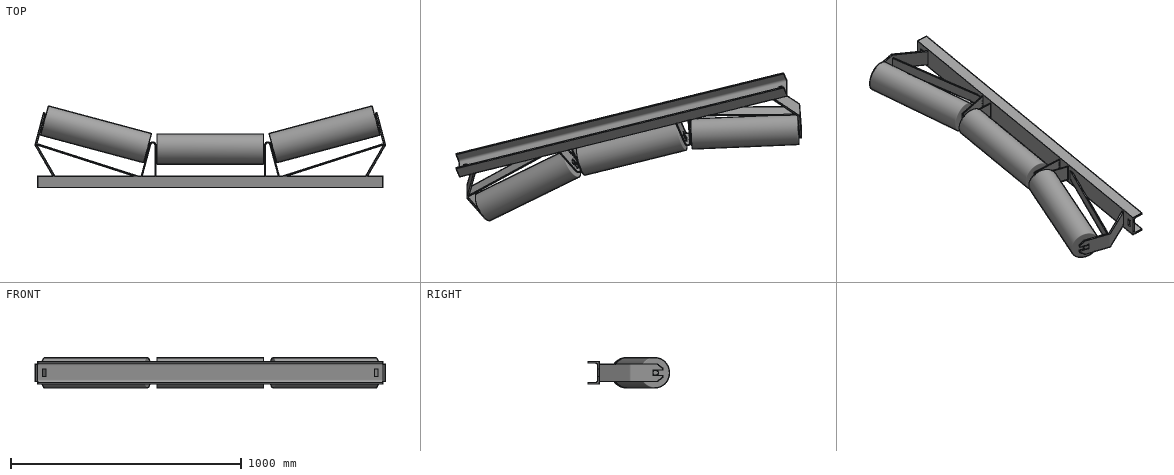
import cadquery as cq
import math


channel_length = 1500.0
channel_depth = 50.0
channel_height = 99.0
web_thickness = 8.0
flange_thickness = 8.0
channel_fillet = 10.0
mount_slot_width = 14.0
mount_slot_height = 32.0
mount_slot_offset = 722.0

roller_diameter = 132.0
roller_length = 465.0
roller_edge_fillet = 3.0
shaft_diameter = 25.0
shaft_flats = 18.0
trough_angle = 15
center_axis_y = 167.0
wing_center_x = 496.0
wing_center_y = 231.0

bracket_width = 76.0
shaft_slot_width = 23.0
inner_thickness = 5.0
inner_clearance = 4.3
inner_bend_radius = 13.5
outer_thickness = 8.0
outer_clearance = 5.0
outer_bend_radius = 11.4
outer_extreme_x = 761.0
outer_leg_angle = 30
outer_tip_height = 32.0
tip_chamfer_along = 25.0
tip_chamfer_across = 18.0

brace_width = 50.0
brace_thickness = 6.0
brace_foot_x = 333.0
brace_angle = 17.8

slot_overshoot = 91.0

along = cq.Vector(math.cos(math.radians(trough_angle)), -math.sin(math.radians(trough_angle)))
upward = cq.Vector(math.sin(math.radians(trough_angle)), math.cos(math.radians(trough_angle)))
wing_center = cq.Vector(-wing_center_x, wing_center_y)
wing_outer_end = wing_center - along * (roller_length / 2)
wing_inner_end = wing_center + along * (roller_length / 2)

outer_bend_offset = outer_clearance + outer_thickness - outer_bend_radius
outer_bend_x = -outer_extreme_x + outer_bend_radius
outer_bend_y = (
    wing_outer_end.y
    + (outer_bend_offset + (outer_bend_x - wing_outer_end.x) * along.x) / -along.y
)
outer_bend = cq.Vector(outer_bend_x, outer_bend_y)


def mirrored(body):
    """Copy a -X body to the +X side."""
    return body.mirror("YZ")


def strip(outline, width):
    """Extrude an XY outline symmetrically about Z = 0."""
    return outline.extrude(width / 2, both=True)


def place_on_wing(body):
    """Turn a body built about the X axis at the origin into the -X roller position."""
    return body.rotate((0, 0, 0), (0, 0, 1), -trough_angle).translate(wing_center)


def xy(point):
    """Drop the Z coordinate of a vector."""
    return (point.x, point.y)


def make_channel():
    """Extrude the U-shaped cross channel, its web towards the rollers, with a slot near each end."""
    web_inner_y = channel_depth - web_thickness
    half_height = channel_height / 2
    inner_half_height = half_height - flange_thickness
    profile = (
        cq.Workplane("YZ")
        .moveTo(0, -half_height)
        .lineTo(channel_depth, -half_height)
        .lineTo(channel_depth, half_height)
        .lineTo(0, half_height)
        .lineTo(0, inner_half_height)
        .lineTo(web_inner_y, inner_half_height)
        .lineTo(web_inner_y, -inner_half_height)
        .lineTo(0, -inner_half_height)
        .close()
    )
    channel = profile.extrude(channel_length / 2, both=True)
    inner_corner = cq.selectors.BoxSelector(
        (-channel_length, web_inner_y - web_thickness / 2, -half_height + flange_thickness / 2),
        (channel_length, web_inner_y + web_thickness / 2, half_height - flange_thickness / 2),
    )
    channel = channel.edges("|X").edges(inner_corner).fillet(channel_fillet)
    for slot_x in (-mount_slot_offset, mount_slot_offset):
        slot = cq.Workplane("XY").box(mount_slot_width, 2 * channel_depth, mount_slot_height)
        channel = channel.cut(slot.translate((slot_x, channel_depth, 0)))
    return channel


def make_roller(reach_low, reach_high):
    """Build a roller about the X axis; its shaft ends extend by the given reaches at -X and +X."""
    start = -roller_length / 2
    drum = cq.Workplane("YZ", origin=(start, 0, 0)).circle(roller_diameter / 2).extrude(roller_length)
    drum = drum.edges().fillet(roller_edge_fillet)
    shaft = (
        cq.Workplane("YZ", origin=(start - reach_low, 0, 0))
        .circle(shaft_diameter / 2)
        .extrude(roller_length + reach_low + reach_high)
    )
    flats = cq.Workplane("XY").box(2 * roller_length, shaft_diameter, shaft_flats)
    return drum.union(shaft.intersect(flats))


def make_shaft_slot(thickness):
    """Build the cutter for an open slot in a plate lying across the X axis at X = 0."""
    height = slot_overshoot + shaft_diameter / 2
    middle = (slot_overshoot - shaft_diameter / 2) / 2
    return cq.Workplane("XY").box(thickness, height, shaft_slot_width).translate((0, middle, 0))


def make_inner_bracket():
    """Bend an inverted U holding the inner end of the -X roller and the -X end of the middle roller."""
    radius = inner_bend_radius
    upright_x = -roller_length / 2 - inner_clearance
    bend_x = upright_x - radius
    bend_offset = inner_clearance + radius
    bend_y = wing_inner_end.y + ((bend_x - wing_inner_end.x) * along.x - bend_offset) / -along.y
    bend = cq.Vector(bend_x, bend_y)
    bend_top = cq.Vector(0, 1)

    def sloping_foot(offset):
        tangent = bend - along * offset
        drop = (tangent.y - channel_depth) / upward.y
        return tangent - upward * drop

    inner_radius = radius - inner_thickness
    outline = (
        cq.Workplane("XY")
        .moveTo(upright_x, channel_depth)
        .lineTo(upright_x, bend_y)
        .threePointArc(xy(bend + bend_top * radius), xy(bend - along * radius))
        .lineTo(*xy(sloping_foot(radius)))
        .lineTo(*xy(sloping_foot(inner_radius)))
        .lineTo(*xy(bend - along * inner_radius))
        .threePointArc(xy(bend + bend_top * inner_radius), (bend_x + inner_radius, bend_y))
        .lineTo(bend_x + inner_radius, channel_depth)
        .close()
    )
    bracket = strip(outline, bracket_width)
    plate_offset = roller_length / 2 + inner_clearance + inner_thickness / 2
    slot = make_shaft_slot(2 * inner_thickness)
    bracket = bracket.cut(slot.translate((-plate_offset, center_axis_y, 0)))
    return bracket.cut(place_on_wing(slot.translate((plate_offset, 0, 0))))


def make_outer_bracket():
    """Bend a strip from the channel up to the outer shaft end of the -X roller."""
    lean = math.radians(outer_leg_angle)
    leg_down = cq.Vector(math.sin(lean), -math.cos(lean))
    leg_normal = cq.Vector(-math.cos(lean), -math.sin(lean))
    middle_angle = math.radians((outer_leg_angle - trough_angle) / 2)
    middle_normal = cq.Vector(-math.cos(middle_angle), -math.sin(middle_angle))
    plate_normal = along * -1
    tip_center = wing_outer_end + upward * outer_tip_height

    def plate_tip(offset):
        return tip_center - along * offset

    def leg_foot(radius):
        tangent = outer_bend + leg_normal * radius
        return tangent + leg_down * ((tangent.y - channel_depth) / -leg_down.y)

    radius = outer_bend_radius
    inner_radius = radius - outer_thickness
    outline = (
        cq.Workplane("XY")
        .moveTo(*xy(plate_tip(outer_clearance + outer_thickness)))
        .lineTo(*xy(outer_bend + plate_normal * radius))
        .threePointArc(xy(outer_bend + middle_normal * radius), xy(outer_bend + leg_normal * radius))
        .lineTo(*xy(leg_foot(radius)))
        .lineTo(*xy(leg_foot(inner_radius)))
        .lineTo(*xy(outer_bend + leg_normal * inner_radius))
        .threePointArc(
            xy(outer_bend + middle_normal * inner_radius),
            xy(outer_bend + plate_normal * inner_radius),
        )
        .lineTo(*xy(plate_tip(outer_clearance)))
        .close()
    )
    bracket = strip(outline, bracket_width)

    plate_offset = -roller_length / 2 - outer_clearance - outer_thickness / 2
    cut_thickness = 2 * outer_thickness
    slot = make_shaft_slot(cut_thickness).translate((plate_offset, 0, 0))
    bracket = bracket.cut(place_on_wing(slot))

    half_width = bracket_width / 2
    corner = (
        cq.Workplane("YZ", origin=(plate_offset - cut_thickness / 2, 0, 0))
        .moveTo(outer_tip_height, half_width)
        .lineTo(outer_tip_height - tip_chamfer_along, half_width)
        .lineTo(outer_tip_height, half_width - tip_chamfer_across)
        .close()
        .extrude(cut_thickness)
    )
    for corner_cut in (corner, corner.mirror("XY")):
        bracket = bracket.cut(place_on_wing(corner_cut))
    return bracket


def make_brace(outer_bracket):
    """Run a flat strip from the channel to the inside of the outer bracket's bend."""
    slope = math.radians(brace_angle)
    direction = cq.Vector(-math.cos(slope), math.sin(slope))
    across = cq.Vector(math.sin(slope), math.cos(slope))
    foot = cq.Vector(-brace_foot_x, channel_depth)
    length = (outer_bend.x - foot.x) / direction.x
    foot_step = brace_thickness / math.sin(slope)
    head_low = foot + direction * length
    outline = (
        cq.Workplane("XY")
        .moveTo(*xy(foot))
        .lineTo(foot.x + foot_step, foot.y)
        .lineTo(*xy(head_low + across * brace_thickness))
        .lineTo(*xy(head_low))
        .close()
    )
    return strip(outline, brace_width).cut(outer_bracket)


channel = make_channel()
inner_reach = inner_clearance + inner_thickness
outer_reach = outer_clearance + outer_thickness
center_roller = make_roller(inner_reach, inner_reach).translate((0, center_axis_y, 0))
wing_roller = place_on_wing(make_roller(outer_reach, inner_reach))
inner_bracket = make_inner_bracket()
outer_bracket = make_outer_bracket()
brace = make_brace(outer_bracket)

bodies = [channel.val(), center_roller.val()]
for body in (wing_roller, inner_bracket, outer_bracket, brace):
    bodies.append(body.val())
    bodies.append(mirrored(body).val())

result = cq.Compound.makeCompound(bodies)